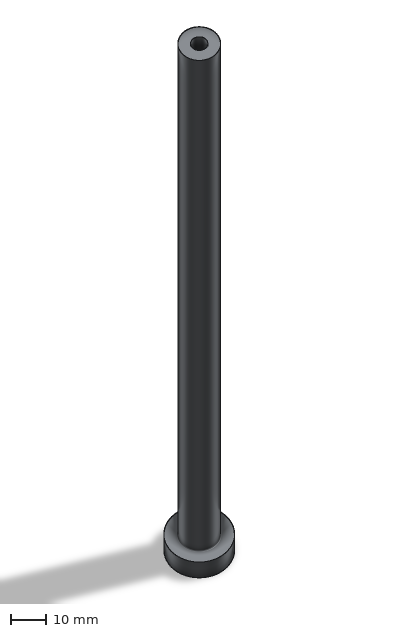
import cadquery as cq

total_length = 232
head_diameter = 20.0
head_height = 7.2
shank_diameter = 12.0
root_fillet_radius = 0.5
bore_diameter = 4.9

head = cq.Workplane("XY").circle(head_diameter / 2).extrude(head_height)

shank_length = total_length - head_height
headed_pin = head.faces(">Z").workplane().circle(shank_diameter / 2).extrude(shank_length)

shank_edges = headed_pin.edges(cq.selectors.RadiusNthSelector(0))
filleted_pin = shank_edges.edges("<Z").fillet(root_fillet_radius)

bore = cq.Workplane("XY").circle(bore_diameter / 2).extrude(total_length)

result = filleted_pin.cut(bore)